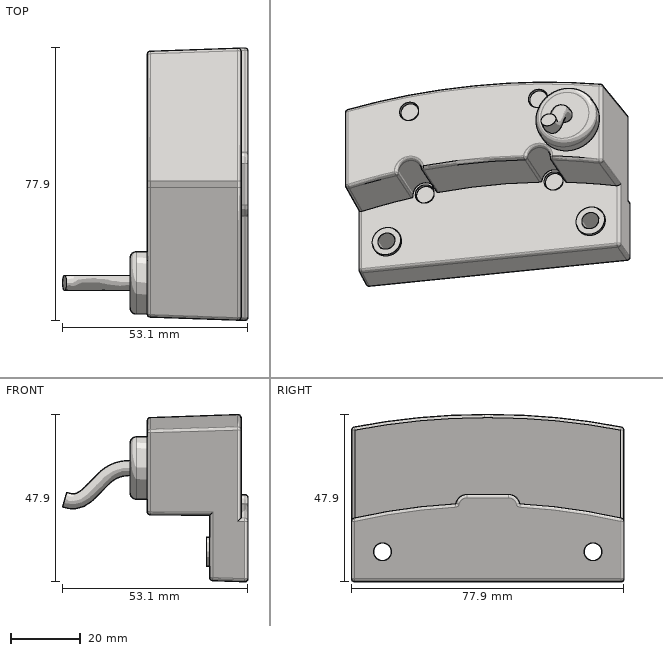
import cadquery as cq
import math

length = 78.0
height = 48.0
front_x = -28.8
draft = 2.0
crown_radius = 196.4
crown_flat_half = 0.9
edge_radius = 0.9

plate_front_x = -11.0
curve_center_z = height - crown_radius
underside_end_z = 18.7

step_depth = 2.0
back_panel_thickness = 0.15
ledge_end_z = 18.1
tab_top_z = 25.0
tab_half_width = 9.2
tab_corner_radius = 3.3
tab_root_radius = 0.15

recess_y = 19.0
upper_recess_z = 40.85
lower_recess_z = 22.5
recess_radius = 2.8
recess_depth = 0.8
recess_draft = 15.0
scallop_radius = 3.4
scallop_corner_radius = 0.6

mount_y = 30.1
mount_z = 8.65
mount_hole_diameter = 5.0
pad_diameter = 8.4
pad_height = 0.9

cable_y = -28.2
cable_z = 32.6
grommet_radius = 9.0
grommet_front_x = -33.75
grommet_edge_radius = 1.9
cable_diameter = 4.4
cable_bends = [(8.7, 4.2), (15.8, 9.5), (18.7, 9.05)]
cable_end_rise = 16.0

half_length = length / 2
eps = 0.01
end_margin = 1.55
bottom_margin = 0.8


def curve_z(radius, y):
    """Height at y of an arc about the common centre line of the housing curves."""
    return curve_center_z + math.sqrt(radius**2 - y**2)


def radius_through(y, z):
    """Radius of the arc about the common centre line that passes through (y, z)."""
    return math.hypot(y, z - curve_center_z)


def front_plane(x):
    """Sketch plane at x facing -X, with sketch axes (Z, Y)."""
    return cq.Workplane("ZY", origin=(x, 0, 0))


def drafted_block():
    arc_span = half_length - crown_flat_half
    arc_z = curve_z(crown_radius, arc_span)
    arc_mid_z = curve_z(crown_radius, arc_span / 2)
    arc_mid_y = crown_flat_half + arc_span / 2
    return (
        front_plane(0)
        .moveTo(0, -half_length)
        .lineTo(arc_z, -half_length)
        .threePointArc((arc_mid_z, -arc_mid_y), (height, -crown_flat_half))
        .lineTo(height, crown_flat_half)
        .threePointArc((arc_mid_z, arc_mid_y), (arc_z, half_length))
        .lineTo(0, half_length)
        .close()
        .extrude(-front_x, taper=draft)
    )


def curved_slab(radius, x_start, depth):
    """Everything below an arc about the common centre line, wider than the housing."""
    reach = half_length + edge_radius
    bottom = -edge_radius
    edge_z = curve_z(radius, reach)
    return (
        front_plane(x_start)
        .moveTo(bottom, -reach)
        .lineTo(edge_z, -reach)
        .threePointArc((curve_center_z + radius, 0), (edge_z, reach))
        .lineTo(bottom, reach)
        .close()
        .extrude(depth)
    )


def underside_cutter():
    overhang = plate_front_x - front_x + edge_radius
    slab = curved_slab(radius_through(half_length, underside_end_z), plate_front_x, overhang)
    scallops = (
        front_plane(plate_front_x)
        .pushPoints([(lower_recess_z, -recess_y), (lower_recess_z, recess_y)])
        .circle(scallop_radius)
        .extrude(overhang)
    )
    return slab.union(scallops)


def back_step_cutter():
    above = front_plane(0).rect(2 * height, 2 * length).extrude(step_depth)
    ledge = curved_slab(radius_through(half_length, ledge_end_z), eps, step_depth + 2 * eps)
    tab = (
        front_plane(eps)
        .rect(2 * tab_top_z, 2 * tab_half_width)
        .extrude(step_depth + 2 * eps)
        .edges("|X and >Z")
        .fillet(tab_corner_radius)
    )
    return above.cut(ledge).cut(tab)


def on_end_face(edge):
    return abs(edge.Center().y) > half_length - end_margin


def on_front_face(edge):
    return edge.Center().x < front_x + eps


def on_back_face(edge):
    return edge.Center().x > -eps


def on_plate_bottom(edge):
    return edge.Center().z < bottom_margin


def on_crown_back(edge):
    center = edge.Center()
    return abs(center.x + step_depth) < eps and center.z > tab_top_z + eps


def is_rounded(edge):
    """True for the outer edges; inside corners and crown seams stay sharp."""
    tests = (on_end_face, on_front_face, on_back_face, on_plate_bottom, on_crown_back)
    return any(test(edge) for test in tests)


def is_tab_root(edge):
    """Short edges along X where the tab sides meet the ledge."""
    center = edge.Center()
    at_step = abs(center.x + step_depth / 2) < eps
    return at_step and center.z < tab_top_z - eps and abs(center.y) < half_length - end_margin


def is_scallop_corner(edge):
    """Edges along X where a scallop meets the underside."""
    center = edge.Center()
    at_overhang = abs(center.x - (front_x + plate_front_x) / 2) < eps
    return at_overhang and abs(center.y) < recess_y + 2 * scallop_radius


def housing():
    body = drafted_block().cut(underside_cutter()).cut(back_step_cutter())
    body = body.edges().filter(is_scallop_corner).fillet(scallop_corner_radius)
    body = body.edges().filter(is_tab_root).fillet(tab_root_radius)
    return body.edges().filter(is_rounded).fillet(edge_radius)


def back_panel(body):
    """Flat back of the housing, thickened toward +X."""
    back_face = body.faces("|X").faces(">X[-2]").val()
    panel = cq.Solid.extrudeLinear(back_face, cq.Vector(back_panel_thickness, 0, 0))
    return cq.Workplane(panel)


def screw_recesses(face_x, z):
    """Pair of shallow tapered recesses in the face at face_x."""
    return (
        front_plane(face_x)
        .pushPoints([(z, -recess_y), (z, recess_y)])
        .circle(recess_radius)
        .extrude(-recess_depth, taper=recess_draft)
    )


def mount_cylinders(diameter, x_start, depth):
    """Pair of cylinders at the mounting positions, running toward the front."""
    return (
        front_plane(x_start)
        .pushPoints([(mount_z, -mount_y), (mount_z, mount_y)])
        .circle(diameter / 2)
        .extrude(depth)
    )


def grommet():
    return (
        front_plane(front_x)
        .center(cable_z, cable_y)
        .circle(grommet_radius)
        .extrude(front_x - grommet_front_x)
        .faces("<X")
        .edges()
        .fillet(grommet_edge_radius)
    )


def cable():
    start = (grommet_front_x, cable_z)
    waypoints = [(grommet_front_x - run, cable_z - fall) for run, fall in cable_bends]
    end_angle = math.radians(cable_end_rise)
    path = cq.Workplane("XZ", origin=(0, cable_y, 0)).spline(
        [start] + waypoints,
        tangents=[(-1, 0), (-math.cos(end_angle), math.sin(end_angle))],
    )
    return front_plane(grommet_front_x).center(cable_z, cable_y).circle(cable_diameter / 2).sweep(path)


body = housing()
result = (
    body
    .union(back_panel(body))
    .union(mount_cylinders(pad_diameter, plate_front_x, pad_height))
    .cut(mount_cylinders(mount_hole_diameter, eps, pad_height - plate_front_x + 2 * eps))
    .cut(screw_recesses(front_x, upper_recess_z))
    .cut(screw_recesses(plate_front_x, lower_recess_z))
    .union(grommet())
    .union(cable())
)